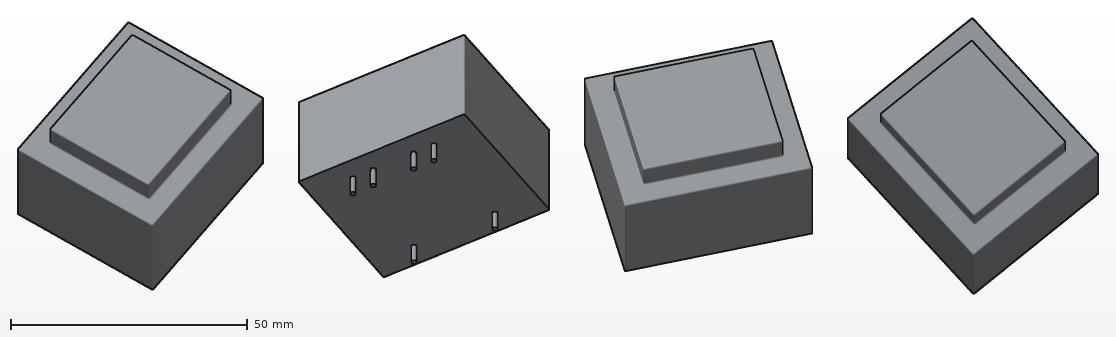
import cadquery as cq

HOUSING_WIDTH = 35.0
HOUSING_LENGTH = 41.0
HOUSING_HEIGHT = 23.0
TOTAL_HEIGHT = 32.5
EDGE_RADIUS = 0.33

COVER_WIDTH = 25.62
COVER_LENGTH = 30.5
COVER_HEIGHT = 5.0
COVER_ROOT_RADIUS = 0.33

PIN_DIAMETER = 1.2
PIN_LENGTH = TOTAL_HEIGHT - HOUSING_HEIGHT - COVER_HEIGHT
PIN_PITCH = 5.0
PIN_ROW_X = 2.5 * PIN_PITCH
LEFT_ROW_STEPS = (-2, -1, 1, 2)
RIGHT_ROW_STEPS = (-2, 2)


def rounded_block(width, length, height):
    """Block standing on Z = 0 with rounded upright and top edges."""
    block = cq.Workplane("XY").box(width, length, height, centered=(True, True, False))
    return block.edges("|Z or >Z").fillet(EDGE_RADIUS)


def make_housing():
    """Cast housing with its core cover, blended where the two meet."""
    base = rounded_block(HOUSING_WIDTH, HOUSING_LENGTH, HOUSING_HEIGHT)
    cover = rounded_block(COVER_WIDTH, COVER_LENGTH, HOUSING_HEIGHT + COVER_HEIGHT)
    housing = base.union(cover)
    half_width = COVER_WIDTH / 2 + EDGE_RADIUS
    half_length = COVER_LENGTH / 2 + EDGE_RADIUS
    root_edges = cq.selectors.BoxSelector(
        (-half_width, -half_length, HOUSING_HEIGHT - EDGE_RADIUS / 2),
        (half_width, half_length, HOUSING_HEIGHT + EDGE_RADIUS / 2),
    )
    return housing.edges(root_edges).fillet(COVER_ROOT_RADIUS)


def make_pin(x, y):
    """Round pin hanging from the underside of the housing."""
    return cq.Workplane("XY").center(x, y).circle(PIN_DIAMETER / 2).extrude(-PIN_LENGTH)


housing = make_housing()

pins = []
for row_x, row_steps in ((-PIN_ROW_X, LEFT_ROW_STEPS), (PIN_ROW_X, RIGHT_ROW_STEPS)):
    for step in row_steps:
        pins.append(make_pin(row_x, step * PIN_PITCH))

result = cq.Compound.makeCompound([housing.val(), *[pin.val() for pin in pins]])